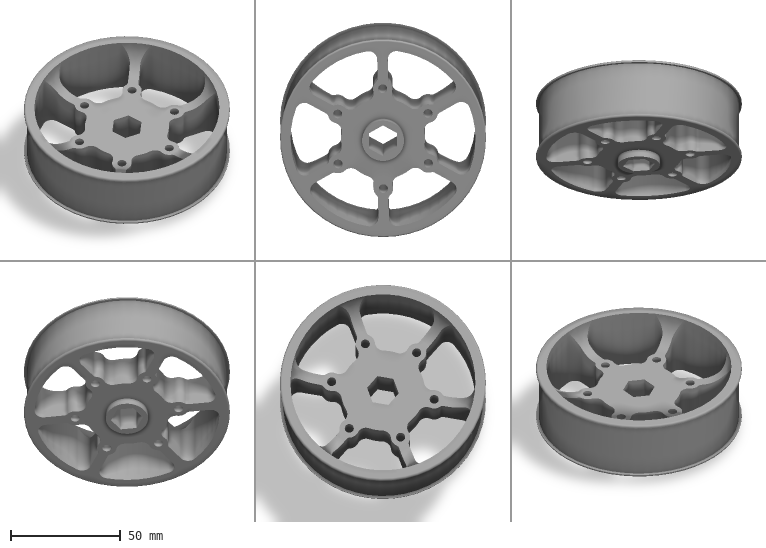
import cadquery as cq
import math

outer_radius = 47.0
drum_radius = 45.7
inner_radius = 42.2
rim_height = 28.4
top_flange_thickness = 1.3
bottom_flange_thickness = 1.1
top_edge_round = 0.9
bottom_edge_round = 0.75

hub_radius = 19.2
hub_drop = 12.1
hub_top = rim_height - hub_drop
collar_radius = 9.6
collar_height = 3.4
hex_across_flats = 12.7

spoke_count = 6
spoke_pitch = 360 / spoke_count
spoke_width = 4.8
bolt_circle_radius = 23.8
bolt_hole_diameter = 4.1
lug_radius = 4.4
hub_lug_fillet = 4.0
lug_spoke_fillet = 2.0
spoke_rim_fillet = 4.0



def make_blank():
    """Solid drum with a rounded flange at each end and a collar underneath."""
    drum = cq.Workplane("XY").circle(drum_radius).extrude(rim_height)
    bottom_flange = (
        cq.Workplane("XY")
        .circle(outer_radius)
        .extrude(bottom_flange_thickness)
        .faces("<Z").edges().fillet(bottom_edge_round)
    )
    top_flange = (
        cq.Workplane("XY", origin=(0, 0, rim_height - top_flange_thickness))
        .circle(outer_radius)
        .extrude(top_flange_thickness)
        .faces(">Z").edges().fillet(top_edge_round)
    )
    collar = cq.Workplane("XY").circle(collar_radius).extrude(-collar_height)
    return drum.union(bottom_flange).union(top_flange).union(collar)


def make_dish():
    """Recess over the hub whose floor sweeps up a quarter circle to the rim."""
    sweep_start = inner_radius - hub_drop
    bend = hub_drop * math.sqrt(0.5)
    return (
        cq.Workplane("XZ")
        .moveTo(0, hub_top)
        .lineTo(sweep_start, hub_top)
        .threePointArc((sweep_start + bend, rim_height - bend), (inner_radius, rim_height))
        .lineTo(0, rim_height)
        .close()
        .revolve(360, (0, 0, 0), (0, 1, 0))
    )


def point_toward(center, target, distance):
    """Point at a distance from center, on the ray through target."""
    dx = target[0] - center[0]
    dy = target[1] - center[1]
    length = math.hypot(dx, dy)
    return (center[0] + dx * distance / length, center[1] + dy * distance / length)


def arc_middle(center, start, end):
    """Middle of the shorter arc about center from start to end."""
    chord_middle = ((start[0] + end[0]) / 2, (start[1] + end[1]) / 2)
    return point_toward(center, chord_middle, math.dist(center, start))


def mirrored(point):
    """Reflection of a point in the centre line of the window beside the +X spoke."""
    double_angle = math.radians(spoke_pitch)
    x, y = point
    return (
        x * math.cos(double_angle) + y * math.sin(double_angle),
        x * math.sin(double_angle) - y * math.cos(double_angle),
    )


def make_window():
    """Opening between the +X spoke and the next one, bounded by tangent arcs."""
    axis = (0, 0)
    lug = (bolt_circle_radius, 0)
    half_width = spoke_width / 2

    rim_fillet_y = half_width + spoke_rim_fillet
    rim_fillet_x = math.sqrt((inner_radius - spoke_rim_fillet) ** 2 - rim_fillet_y**2)
    rim_fillet = (rim_fillet_x, rim_fillet_y)

    flank_fillet_y = half_width + lug_spoke_fillet
    flank_fillet_offset = math.sqrt((lug_radius + lug_spoke_fillet) ** 2 - flank_fillet_y**2)
    flank_fillet = (bolt_circle_radius + flank_fillet_offset, flank_fillet_y)

    to_axis = hub_radius + hub_lug_fillet
    to_lug = lug_radius + hub_lug_fillet
    hub_fillet_x = (to_axis**2 - to_lug**2 + bolt_circle_radius**2) / (2 * bolt_circle_radius)
    hub_fillet = (hub_fillet_x, math.sqrt(to_axis**2 - hub_fillet_x**2))

    on_rim = point_toward(axis, rim_fillet, inner_radius)
    flank_outer = (rim_fillet[0], half_width)
    flank_inner = (flank_fillet[0], half_width)
    lug_outer = point_toward(lug, flank_fillet, lug_radius)
    lug_inner = point_toward(lug, hub_fillet, lug_radius)
    on_hub = point_toward(axis, hub_fillet, hub_radius)

    rim_fillet_middle = arc_middle(rim_fillet, on_rim, flank_outer)
    flank_fillet_middle = arc_middle(flank_fillet, flank_inner, lug_outer)
    lug_middle = arc_middle(lug, lug_outer, lug_inner)
    hub_fillet_middle = arc_middle(hub_fillet, lug_inner, on_hub)

    return (
        cq.Workplane("XY")
        .moveTo(*on_rim)
        .threePointArc(rim_fillet_middle, flank_outer)
        .lineTo(*flank_inner)
        .threePointArc(flank_fillet_middle, lug_outer)
        .threePointArc(lug_middle, lug_inner)
        .threePointArc(hub_fillet_middle, on_hub)
        .threePointArc(arc_middle(axis, on_hub, mirrored(on_hub)), mirrored(on_hub))
        .threePointArc(mirrored(hub_fillet_middle), mirrored(lug_inner))
        .threePointArc(mirrored(lug_middle), mirrored(lug_outer))
        .threePointArc(mirrored(flank_fillet_middle), mirrored(flank_inner))
        .lineTo(*mirrored(flank_outer))
        .threePointArc(mirrored(rim_fillet_middle), mirrored(on_rim))
        .threePointArc(arc_middle(axis, on_rim, mirrored(on_rim)), on_rim)
        .close()
        .extrude(rim_height)
    )


def make_hex_bore():
    across_corners = hex_across_flats / math.cos(math.pi / 6)
    return (
        cq.Workplane("XY", origin=(0, 0, -collar_height))
        .polygon(6, across_corners)
        .extrude(collar_height + hub_top)
    )


def make_bolt_holes():
    return (
        cq.Workplane("XY")
        .polarArray(bolt_circle_radius, 0, 360, spoke_count)
        .circle(bolt_hole_diameter / 2)
        .extrude(hub_top)
    )


windows = cq.Workplane("XY")
window = make_window()
for i in range(spoke_count):
    windows = windows.add(window.rotate((0, 0, 0), (0, 0, 1), i * spoke_pitch))

result = (
    make_blank()
    .cut(make_dish())
    .cut(windows.combine())
    .cut(make_hex_bore())
    .cut(make_bolt_holes())
)